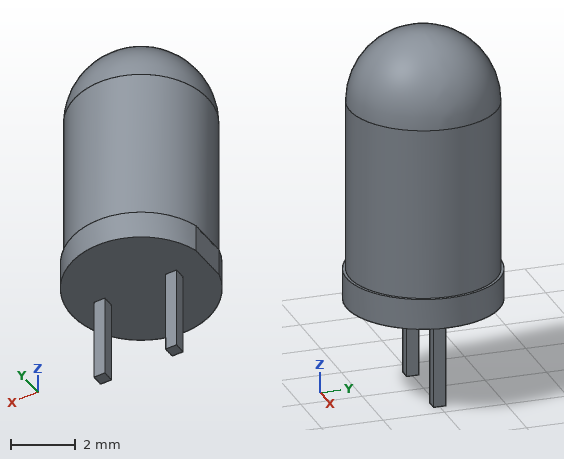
import cadquery as cq

total_height = 12.0
lens_diameter = 4.8
lens_radius = lens_diameter / 2
lead_length = 3.0
flange_height = 1.0
flange_diameter = 4.99
flat_offset = lens_radius

lead_width = 0.4
lead_positions = (-1.2, 1.39)

flange_bottom = lead_length
barrel_bottom = flange_bottom + flange_height
dome_bottom = total_height - lens_radius


def make_flange():
    """Round base flange with the polarity flat on its -X side."""
    flange_radius = flange_diameter / 2
    disc = cq.Workplane("XY").workplane(offset=flange_bottom).circle(flange_radius).extrude(flange_height)
    keep_length = flat_offset + flange_radius
    keep_box = (
        cq.Workplane("XY")
        .workplane(offset=flange_bottom)
        .center(keep_length / 2 - flat_offset, 0)
        .rect(keep_length, flange_diameter)
        .extrude(flange_height)
    )
    return disc.intersect(keep_box)


def make_barrel():
    """Straight cylindrical part of the lens."""
    barrel_height = dome_bottom - barrel_bottom
    return cq.Workplane("XY").workplane(offset=barrel_bottom).circle(lens_radius).extrude(barrel_height)


def make_dome():
    """Hemispherical tip, a quarter disc revolved about the Z axis."""
    arc_middle = lens_radius / 2**0.5
    return (
        cq.Workplane("XZ", origin=(0, 0, dome_bottom))
        .lineTo(lens_radius, 0)
        .threePointArc((arc_middle, arc_middle), (0, lens_radius))
        .close()
        .revolve(360, (0, 0), (0, 1))
    )


def make_lead(x_position):
    """Square wire lead ending at the underside of the flange."""
    return cq.Workplane("XY").center(x_position, 0).rect(lead_width, lead_width).extrude(lead_length)


flange = make_flange()
barrel = make_barrel()
dome = make_dome()
leads = [make_lead(x_position) for x_position in lead_positions]

result = cq.Compound.makeCompound(
    [flange.val(), barrel.val(), dome.val(), *[lead.val() for lead in leads]]
)